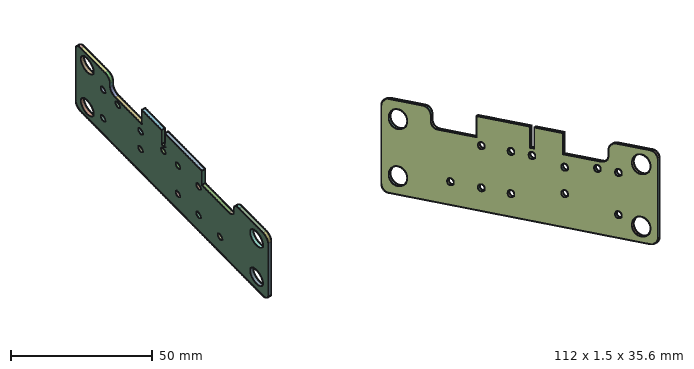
import cadquery as cq

length = 112.0
height = 35.6
thickness = 1.5
corner_radius = 3.0

recess_depth = 8.0
recess_floor = height - recess_depth
shoulder_length = 20.0
tab_left = 38.5
tab_right = 73.5

slot_center = 51.0
slot_width = 1.8

mount_diameter = 7.5
mount_end_offset = 6.75
mount_pairs = [
    (mount_end_offset, 23.6),
    (length - mount_end_offset, 21.6),
]

small_diameter = 2.7
upper_row = 24.8
lower_row = 8.8
shared_columns = [16.0, 59.5, 71.5]
upper_only_columns = [24.5, 51.0]
lower_only_columns = [84.0]

middle_column = 37.75
middle_levels = [12.8, 22.8]


def block(left, right, bottom, top):
    """Box of full plate thickness between the given X and Z limits."""
    return cq.Workplane("XY").box(
        right - left, thickness, top - bottom, centered=False
    ).translate((left, 0, bottom))


def plate_blank():
    """Plate with both recesses cut and its end and shoulder corners rounded."""
    blank = block(0, length, 0, height)
    recesses = [
        (shoulder_length, tab_left),
        (tab_right, length - shoulder_length),
    ]
    for left, right in recesses:
        blank = blank.cut(block(left, right, recess_floor, height))

    rounded_corners = [
        (x, z)
        for x, levels in [
            (0, (0, height)),
            (shoulder_length, (recess_floor, height)),
            (length - shoulder_length, (recess_floor, height)),
            (length, (0, height)),
        ]
        for z in levels
    ]
    for x, z in rounded_corners:
        corner_edge = cq.selectors.NearestToPointSelector((x, thickness / 2, z))
        blank = blank.edges("|Y").edges(corner_edge).fillet(corner_radius)
    return blank


def hole_pins(points, diameter):
    """Pins through the plate at the given (X, Z) points."""
    return (
        cq.Workplane("XZ")
        .pushPoints(points)
        .circle(diameter / 2)
        .extrude(-thickness)
    )


mount_points = [
    (x, height / 2 + side * spacing / 2)
    for x, spacing in mount_pairs
    for side in (-1, 1)
]
small_points = (
    [(x, upper_row) for x in shared_columns + upper_only_columns]
    + [(x, lower_row) for x in shared_columns + lower_only_columns]
    + [(middle_column, z) for z in middle_levels]
)

slot = block(
    slot_center - slot_width / 2, slot_center + slot_width / 2, recess_floor, height
)

result = (
    plate_blank()
    .cut(slot)
    .cut(hole_pins(mount_points, mount_diameter))
    .cut(hole_pins(small_points, small_diameter))
)